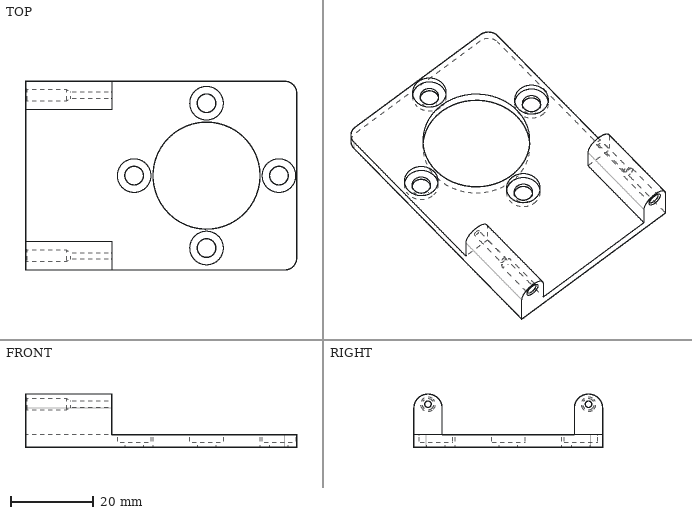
import cadquery as cq

length = 66.0
width = 46.0
plate_thickness = 3.1
corner_radius = 3.0

rail_length = 21.0
rail_width = 6.9
rail_height = 13.0
rail_radius = rail_width / 2
rail_center_y = (width - rail_width) / 2

bore_z = 10.5
bore_diameter = 1.5
bore_mouth_diameter = 3.55
bore_step_diameter = 2.8
bore_mouth_depth = 0.3
bore_step_depth = 9.9
bore_taper_length = 1.05

opening_x = 44.0
opening_diameter = 26.0
screw_offset = 17.6
screw_diameter = 4.5
counterbore_diameter = 8.2
counterbore_depth = 1.9


def make_plate():
    plate = cq.Workplane("XY").box(length, width, plate_thickness, centered=(False, True, False))
    return plate.edges("|Z and >X").fillet(corner_radius)


def make_rail(center_y):
    shoulder_z = rail_height - rail_radius
    return (
        cq.Workplane("YZ")
        .moveTo(center_y - rail_radius, 0)
        .lineTo(center_y - rail_radius, shoulder_z)
        .threePointArc((center_y, rail_height), (center_y + rail_radius, shoulder_z))
        .lineTo(center_y + rail_radius, 0)
        .close()
        .extrude(rail_length)
    )


def make_rail_bore(center_y):
    """Through bore, wider at the -X end, with a conical mouth and a tapered step."""
    profile = cq.Workplane("YZ").center(center_y, bore_z)
    through = profile.circle(bore_diameter / 2).extrude(rail_length)
    step = profile.circle(bore_step_diameter / 2).extrude(bore_step_depth)
    mouth = (
        profile.circle(bore_mouth_diameter / 2)
        .workplane(offset=bore_mouth_depth)
        .circle(bore_step_diameter / 2)
        .loft()
    )
    taper = (
        profile.workplane(offset=bore_step_depth)
        .circle(bore_step_diameter / 2)
        .workplane(offset=bore_taper_length)
        .circle(bore_diameter / 2)
        .loft()
    )
    return through.union(step).union(mouth).union(taper)


def make_screw_cutter():
    """Four counterbored screw holes evenly spaced around the central opening."""
    base = cq.Workplane("XY", origin=(opening_x, 0, 0))
    holes = base.polarArray(screw_offset, 0, 360, 4).circle(screw_diameter / 2).extrude(plate_thickness)
    counterbores = (
        base.workplane(offset=plate_thickness - counterbore_depth)
        .polarArray(screw_offset, 0, 360, 4)
        .circle(counterbore_diameter / 2)
        .extrude(counterbore_depth)
    )
    return holes.union(counterbores)


def make_opening_cutter():
    base = cq.Workplane("XY", origin=(opening_x, 0, 0))
    return base.circle(opening_diameter / 2).extrude(plate_thickness)


result = make_plate()
for side in (-1, 1):
    result = result.union(make_rail(side * rail_center_y))
for side in (-1, 1):
    result = result.cut(make_rail_bore(side * rail_center_y))
result = result.cut(make_opening_cutter()).cut(make_screw_cutter())